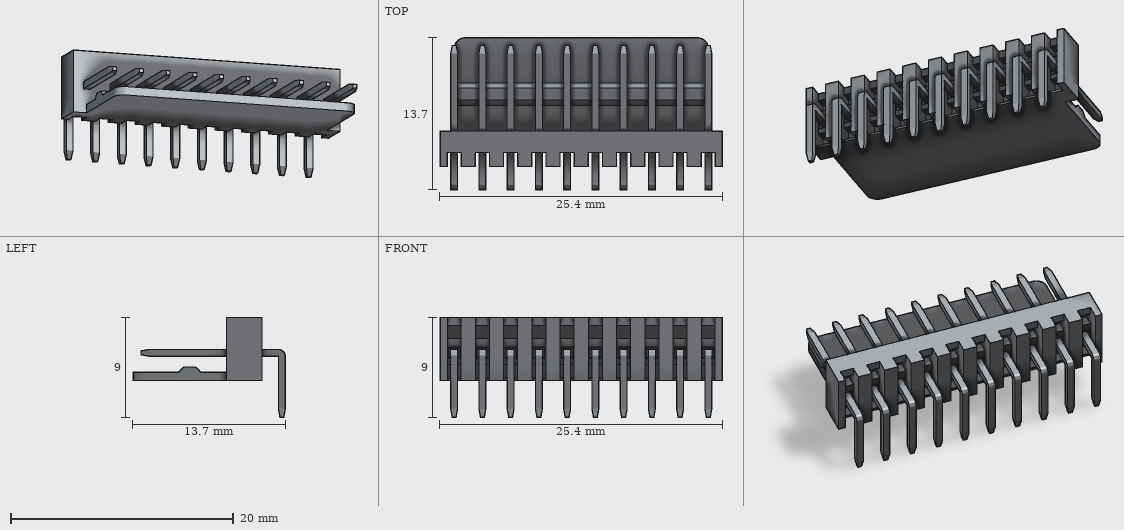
import cadquery as cq


PIN_COUNT = 10
PITCH = 2.54
PIN_SIZE = 0.64
PIN_AXIS_Z = 2.5
PIN_MATING_LENGTH = 7.7
PIN_TAIL_REACH = 5.3
PIN_TAIL_DROP = 3.3
TIP_LENGTH = 0.77
TIP_SIZE = 0.36

WALL_LENGTH = PIN_COUNT * PITCH
WALL_DEPTH = 3.2
WALL_HEIGHT = 5.7

SLOT_WIDTH = 1.24
SLOT_DEPTH = 1.25
POCKET_DEPTH = 1.0
POCKET_SPANS = ((0.23, 1.47), (3.78, 4.94))
FUNNEL_SIZE = 1.04
FUNNEL_DEPTH = 0.18

TONGUE_WIDTH = (PIN_COUNT - 1) * PITCH
TONGUE_LENGTH = 8.4
TONGUE_THICKNESS = 0.77
TONGUE_CORNER_RADIUS = 1.0
RIDGE_CENTER_Y = 3.31
RIDGE_TOP_WIDTH = 1.08
RIDGE_HEIGHT = 0.47

SLOT_FLOOR_Y = SLOT_DEPTH - WALL_DEPTH
PIN_POSITIONS = [(i - (PIN_COUNT - 1) / 2) * PITCH for i in range(PIN_COUNT)]


def box_between(x_range, y_range, z_range):
    """Axis-aligned box spanning the given (low, high) ranges."""
    size = [high - low for low, high in (x_range, y_range, z_range)]
    corner = (x_range[0], y_range[0], z_range[0])
    return cq.Workplane("XY").box(*size, centered=False).translate(corner)


def make_wall():
    """Plain block of the housing wall."""
    half_length = WALL_LENGTH / 2
    return box_between((-half_length, half_length), (-WALL_DEPTH, 0), (0, WALL_HEIGHT))


def make_tongue():
    """Locking tongue with rounded free corners and a trapezoidal ridge across it."""
    half_width = TONGUE_WIDTH / 2
    plate = (
        box_between((-half_width, half_width), (0, TONGUE_LENGTH), (0, TONGUE_THICKNESS))
        .edges("|Z and >Y")
        .fillet(TONGUE_CORNER_RADIUS)
    )
    half_top = RIDGE_TOP_WIDTH / 2
    half_base = half_top + RIDGE_HEIGHT
    ridge_top_z = TONGUE_THICKNESS + RIDGE_HEIGHT
    ridge = (
        cq.Workplane("YZ")
        .polyline([
            (RIDGE_CENTER_Y - half_base, TONGUE_THICKNESS),
            (RIDGE_CENTER_Y + half_base, TONGUE_THICKNESS),
            (RIDGE_CENTER_Y + half_top, ridge_top_z),
            (RIDGE_CENTER_Y - half_top, ridge_top_z),
        ])
        .close()
        .extrude(half_width, both=True)
    )
    return plate.union(ridge)


def make_slot_cutter():
    """Slot at X = 0 with its two floor pockets and the funnel around the contact."""
    slot_x = (-SLOT_WIDTH / 2, SLOT_WIDTH / 2)
    cutter = box_between(slot_x, (-WALL_DEPTH, SLOT_FLOOR_Y), (0, WALL_HEIGHT))
    for z_span in POCKET_SPANS:
        pocket_y = (SLOT_FLOOR_Y, SLOT_FLOOR_Y + POCKET_DEPTH)
        cutter = cutter.union(box_between(slot_x, pocket_y, z_span))
    funnel = (
        cq.Workplane("XZ", origin=(0, SLOT_FLOOR_Y, PIN_AXIS_Z))
        .rect(FUNNEL_SIZE, FUNNEL_SIZE)
        .workplane(offset=-FUNNEL_DEPTH)
        .rect(PIN_SIZE, PIN_SIZE)
        .loft()
    )
    return cutter.union(funnel)


def add_tip(pin, end_face):
    """Tapered square tip on the selected end face of a pin."""
    return (
        pin.faces(end_face)
        .workplane(centerOption="CenterOfMass")
        .rect(PIN_SIZE, PIN_SIZE)
        .workplane(offset=TIP_LENGTH)
        .rect(TIP_SIZE, TIP_SIZE)
        .loft()
    )


def make_pin():
    """Right-angle contact at X = 0, rounded outside the bend and sharp inside it."""
    half = PIN_SIZE / 2
    top_z = PIN_AXIS_Z + half
    pin_x = (-half, half)
    tail_y = (-PIN_TAIL_REACH, PIN_SIZE - PIN_TAIL_REACH)
    mating_y = (-PIN_TAIL_REACH, PIN_MATING_LENGTH - TIP_LENGTH)
    mating_leg = box_between(pin_x, mating_y, (top_z - PIN_SIZE, top_z))
    tail_leg = box_between(pin_x, tail_y, (TIP_LENGTH - PIN_TAIL_DROP, top_z))
    pin = mating_leg.union(tail_leg).clean()
    pin = pin.edges("|X and >Z and <Y").fillet(PIN_SIZE)
    pin = add_tip(pin, ">Y")
    return add_tip(pin, "<Z")


housing = make_wall().union(make_tongue())
slot_cutter = make_slot_cutter()
pin = make_pin()

for x in PIN_POSITIONS:
    housing = housing.cut(slot_cutter.translate((x, 0, 0)))
result = housing
for x in PIN_POSITIONS:
    result = result.union(pin.translate((x, 0, 0)))